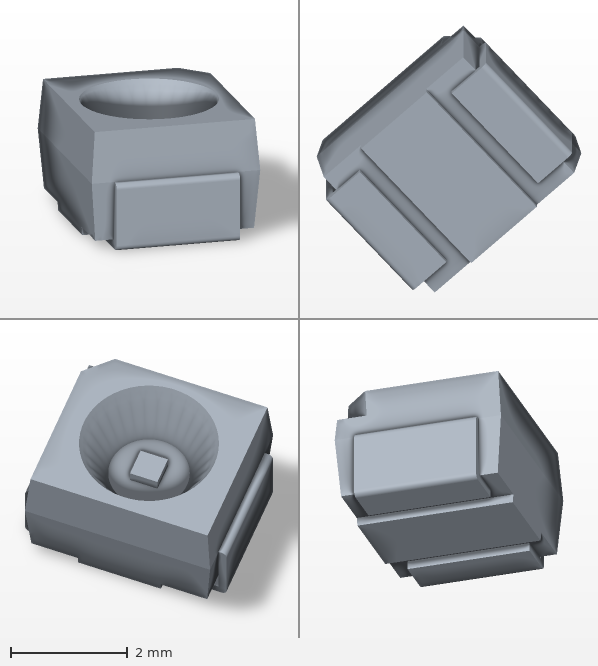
import cadquery as cq

overall_length = 3.7
body_length = 3.4
body_width = 3.0
total_height = 2.1
seam_height = 1.202
draft_angle = 4.7

cup_rim_radius = 1.2
cup_floor_radius = 0.7

mark_depth = 0.5
mark_leg = 0.6

chip_side = 0.505
chip_height = 0.2

terminal_width = 2.2
terminal_thickness = (overall_length - body_length) / 2
terminal_edge_radius = 0.1
foot_inner_x = 1.062
pad_length = 1.517


def tapered_block(height, direction):
    """Block on the seam plane, narrowing by the draft angle; direction is +1 up, -1 down."""
    return (
        cq.Workplane("XY", origin=(0, 0, seam_height))
        .rect(body_length, body_width)
        .extrude(direction * height, taper=draft_angle)
    )


def make_upper_housing():
    cup_depth = total_height - seam_height
    cup = (
        cq.Workplane("XY", origin=(0, 0, seam_height))
        .circle(cup_floor_radius)
        .workplane(offset=cup_depth)
        .circle(cup_rim_radius)
        .loft(ruled=True)
    )
    corner_x = -body_length / 2
    corner_y = body_width / 2
    corner_mark = (
        cq.Workplane("XY", origin=(0, 0, total_height - mark_depth))
        .moveTo(corner_x, corner_y)
        .lineTo(corner_x + mark_leg, corner_y)
        .lineTo(corner_x, corner_y - mark_leg)
        .close()
        .extrude(mark_depth)
    )
    return tapered_block(cup_depth, 1).cut(cup).cut(corner_mark)


def make_lower_housing():
    """Tapered base whose underside is raised over the feet, leaving a central pad."""
    relief_length = (body_length - pad_length) / 2
    relief_center_x = (body_length + pad_length) / 4
    reliefs = (
        cq.Workplane("XY")
        .pushPoints([(-relief_center_x, 0), (relief_center_x, 0)])
        .rect(relief_length, body_width)
        .extrude(terminal_thickness)
    )
    return tapered_block(seam_height, -1).cut(reliefs)


def make_chip():
    return (
        cq.Workplane("XY", origin=(0, 0, seam_height))
        .rect(chip_side, chip_side)
        .extrude(chip_height)
    )


def make_terminal_plate(side):
    """Upright end plate with its two outer long edges rounded; side is -1 or +1 along X."""
    center_x = side * (overall_length - terminal_thickness) / 2
    outer_face = ">X" if side > 0 else "<X"
    return (
        cq.Workplane("XY", origin=(center_x, 0, 0))
        .rect(terminal_thickness, terminal_width)
        .extrude(seam_height)
        .faces(outer_face)
        .edges("|Y")
        .fillet(terminal_edge_radius)
    )


def make_terminal_foot(side):
    """Flat foot running inward from the end plate beneath the lower housing."""
    foot_length = body_length / 2 - foot_inner_x
    center_x = side * (foot_inner_x + foot_length / 2)
    return (
        cq.Workplane("XY", origin=(center_x, 0, 0))
        .rect(foot_length, terminal_width)
        .extrude(terminal_thickness)
    )


upper_housing = make_upper_housing()
lower_housing = make_lower_housing()
chip = make_chip()

terminals = []
for side in (-1, 1):
    terminals.append(make_terminal_plate(side).val())
    terminals.append(make_terminal_foot(side).val())

result = cq.Compound.makeCompound(
    [upper_housing.solids().val(), lower_housing.solids().val(), chip.val(), *terminals]
)